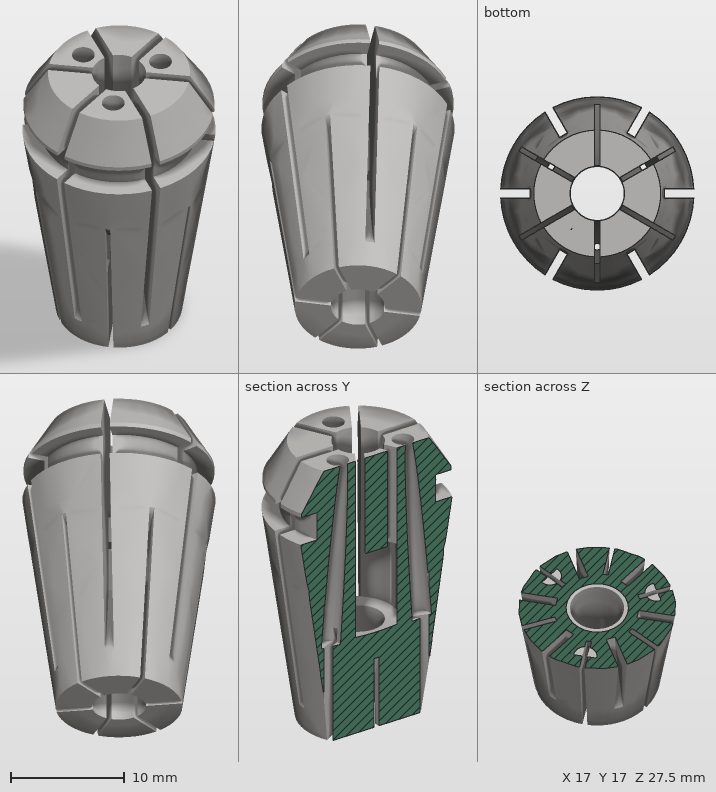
import cadquery as cq
import math

length = 27.5
body_top = 20.8
rim_bottom = 23.5
rim_top = 23.9

body_radius = 8.5
body_taper = 8.0
groove_radius = 6.9
rim_radius = 8.4
face_radius = 6.25
bore_diameter = 4.75

relief_radius = 3.62
relief_floor = 9.7
relief_floor_slope = 8.0
relief_top = length - relief_floor

saw_radius = 25.0
slots_per_set = 6
slot_pitch = 360 / slots_per_set
clearance = 1.0

wide_slot_width = 0.8
wide_slot_floor = 9.75
wide_slot_runout = 2.5

narrow_slot_width = 0.45
narrow_slot_floor = 5.17
narrow_slot_floor_radius = 2.45
narrow_slot_runout = 16.0

hole_diameter = 2.0
hole_circle_radius = 3.95
hole_tilt = 5.0
hole_depth = 18.0
hole_count = 3
first_hole_angle = 90.0


def taper_radius(z):
    """Outer radius of the tapered body at height z."""
    return body_radius - (body_top - z) * math.tan(math.radians(body_taper))


def make_body():
    """Turned collet blank with its through bore."""
    outline = (
        cq.Workplane("XZ")
        .lineTo(taper_radius(0), 0)
        .lineTo(body_radius, body_top)
        .lineTo(groove_radius, body_top)
        .lineTo(groove_radius, rim_bottom)
        .lineTo(rim_radius, rim_bottom)
        .lineTo(rim_radius, rim_top)
        .lineTo(face_radius, length)
        .lineTo(0, length)
        .close()
    )
    blank = outline.revolve(360, (0, 0, 0), (0, 1, 0))
    bore = cq.Workplane("XY").circle(bore_diameter / 2).extrude(length)
    return blank.cut(bore).cut(make_relief())


def make_relief():
    """Internal relief around the bore, flat on top and sloping down to the axis below."""
    floor_drop = relief_radius * math.tan(math.radians(relief_floor_slope))
    outline = (
        cq.Workplane("XZ")
        .moveTo(0, relief_floor - floor_drop)
        .lineTo(relief_radius, relief_floor)
        .lineTo(relief_radius, relief_top)
        .lineTo(0, relief_top)
        .close()
    )
    return outline.revolve(360, (0, 0, 0), (0, 1, 0))


def make_slot(width, floor, floor_radius, runout, open_end, arc_radius):
    """Radial slot along +X, flat near the axis and curving to the taper at the runout height.

    A negative arc_radius bends the floor the other way.
    """
    reach = body_radius + clearance
    return (
        cq.Workplane("XZ", origin=(0, width / 2, 0))
        .moveTo(0, open_end)
        .lineTo(0, floor)
        .lineTo(floor_radius, floor)
        .radiusArc((taper_radius(runout), runout), arc_radius)
        .lineTo(reach, runout)
        .lineTo(reach, open_end)
        .close()
        .extrude(width)
    )


def make_hole():
    """Leaning hole cutter at +X, with a flat bottom square to its axis."""
    tilt = math.radians(hole_tilt)
    downward = cq.Vector(math.sin(tilt), 0, -math.cos(tilt))
    start = cq.Vector(hole_circle_radius, 0, length) - downward * clearance
    cutter = cq.Solid.makeCylinder(hole_diameter / 2, hole_depth + clearance, start, downward)
    return cq.Workplane(cutter)


def cut_around(part, cutter, count, first_angle):
    """Cut equally spaced copies of a cutter around the Z axis."""
    for index in range(count):
        angle = first_angle + index * 360 / count
        part = part.cut(cutter.rotate((0, 0, 0), (0, 0, 1), angle))
    return part


wide_slot = make_slot(
    wide_slot_width,
    wide_slot_floor,
    relief_radius,
    wide_slot_runout,
    length + clearance,
    -saw_radius,
)
narrow_slot = make_slot(
    narrow_slot_width,
    narrow_slot_floor,
    narrow_slot_floor_radius,
    narrow_slot_runout,
    -clearance,
    saw_radius,
)

result = make_body()
result = cut_around(result, wide_slot, slots_per_set, 0)
result = cut_around(result, narrow_slot, slots_per_set, slot_pitch / 2)
result = cut_around(result, make_hole(), hole_count, first_hole_angle)